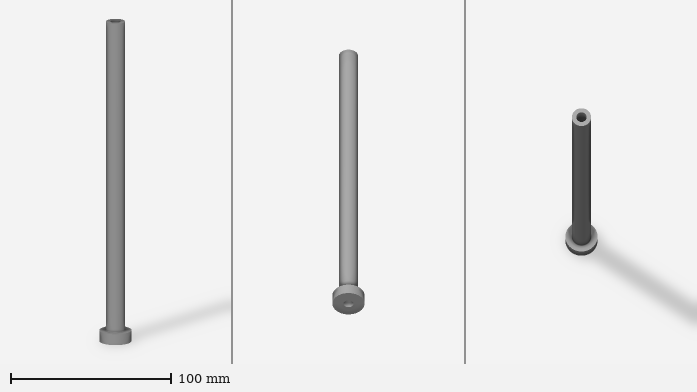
import cadquery as cq

total_length = 207.0
head_diameter = 20.0
head_height = 7.0
shank_diameter = 12.0
bore_diameter = 6.5
root_fillet_radius = 0.5

head = cq.Workplane("XY").circle(head_diameter / 2).extrude(head_height)

shank = cq.Workplane("XY").circle(shank_diameter / 2).extrude(total_length)
body = head.union(shank)

shank_root = cq.selectors.RadiusNthSelector(0)
body = body.faces("<Z[1]").edges(shank_root).fillet(root_fillet_radius)

result = body.faces(">Z").workplane().circle(bore_diameter / 2).cutThruAll()